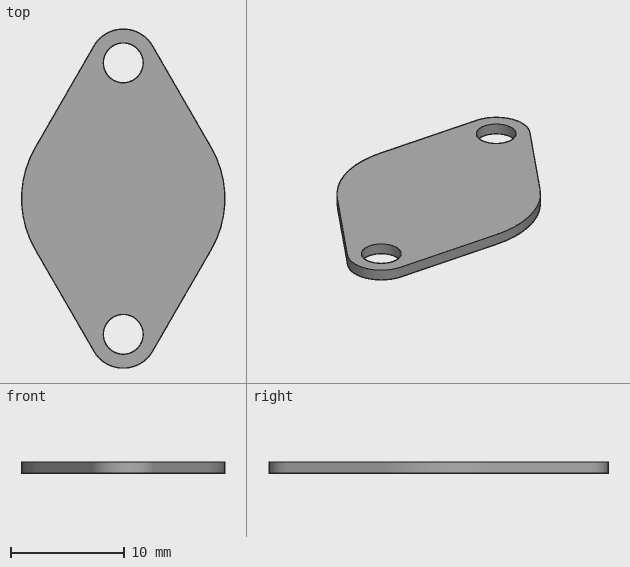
import cadquery as cq
import math

thickness = 1.0
body_radius = 9.0
ear_radius = 3.0
hole_offset = 12.0
hole_diameter = 3.5

tangent_angle = math.asin((body_radius - ear_radius) / hole_offset)
body_tangent_x = body_radius * math.cos(tangent_angle)
body_tangent_y = body_radius * math.sin(tangent_angle)
ear_tangent_x = ear_radius * math.cos(tangent_angle)
ear_tangent_y = hole_offset + ear_radius * math.sin(tangent_angle)
ear_tip_y = hole_offset + ear_radius


def make_plate():
    """Rounded diamond plate: two body arcs and two ear arcs joined by tangent flanks."""
    return (
        cq.Workplane("XY")
        .moveTo(body_tangent_x, -body_tangent_y)
        .threePointArc((body_radius, 0), (body_tangent_x, body_tangent_y))
        .lineTo(ear_tangent_x, ear_tangent_y)
        .threePointArc((0, ear_tip_y), (-ear_tangent_x, ear_tangent_y))
        .lineTo(-body_tangent_x, body_tangent_y)
        .threePointArc((-body_radius, 0), (-body_tangent_x, -body_tangent_y))
        .lineTo(-ear_tangent_x, -ear_tangent_y)
        .threePointArc((0, -ear_tip_y), (ear_tangent_x, -ear_tangent_y))
        .close()
        .extrude(thickness)
    )


def drill_mounting_holes(plate):
    """Drill a through hole concentric with each ear."""
    return (
        plate.faces(">Z")
        .workplane(origin=(0, 0, thickness))
        .pushPoints([(0, -hole_offset), (0, hole_offset)])
        .hole(hole_diameter)
    )


result = drill_mounting_holes(make_plate())